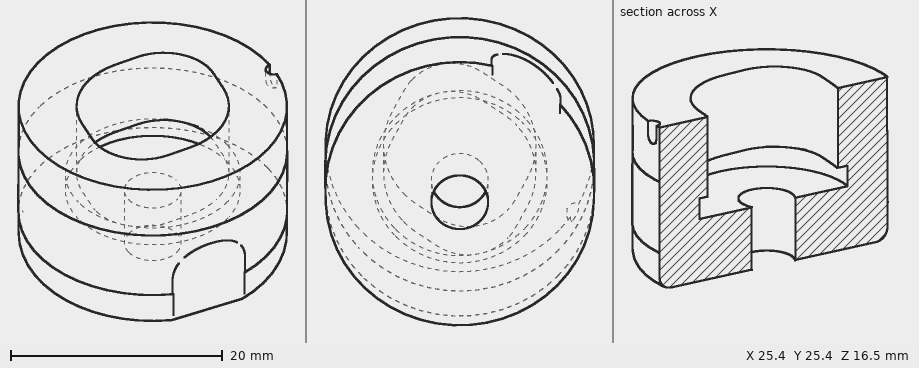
import cadquery as cq
import math

OUTER_DIAMETER = 25.4
END_DIAMETER = 25.35
HEIGHT = 16.5
BASE_HEIGHT = 3.8
COLLAR_BOTTOM = 11.0
BOTTOM_FILLET = 1.3

FLAT_X = 12.12
FLAT_TOP = 5.6
RUNOUT_TOP = 9.1

POCKET_RADIUS = 7.2
LOBE_RADIUS = 5.08
LOBE_OFFSET = 3.18
LOBE_ANGLE = 135.0
POCKET_DEPTH = 8.13

CHAMBER_RADIUS = LOBE_OFFSET + LOBE_RADIUS
CHAMBER_FLOOR = 6.35
THROUGH_DIAMETER = 5.35

NOTCH_RADIUS = 0.75
NOTCH_DEPTH = 2.03


def cylinder(radius, bottom, top):
    return cq.Workplane("XY").workplane(offset=bottom).circle(radius).extrude(top - bottom)


def make_body():
    outer_radius = OUTER_DIAMETER / 2
    base = cylinder(END_DIAMETER / 2, 0, BASE_HEIGHT)
    middle = cylinder(outer_radius, BASE_HEIGHT, COLLAR_BOTTOM)
    collar = cylinder(END_DIAMETER / 2, COLLAR_BOTTOM, HEIGHT)
    return base.union(middle).union(collar)


def make_flat_cutter():
    outer_radius = OUTER_DIAMETER / 2
    cut_depth = outer_radius - FLAT_X
    rise = RUNOUT_TOP - FLAT_TOP
    runout_radius = (rise**2 + cut_depth**2) / (2 * cut_depth)
    half_angle = math.asin(rise / runout_radius) / 2
    arc_middle = (
        FLAT_X + runout_radius * (1 - math.cos(half_angle)),
        FLAT_TOP + runout_radius * math.sin(half_angle),
    )
    return (
        cq.Workplane("XZ")
        .moveTo(FLAT_X, 0)
        .lineTo(FLAT_X, FLAT_TOP)
        .threePointArc(arc_middle, (outer_radius, RUNOUT_TOP))
        .lineTo(outer_radius, 0)
        .close()
        .extrude(outer_radius, both=True)
    )


def make_pocket():
    tangent_angle = math.acos((POCKET_RADIUS - LOBE_RADIUS) / LOBE_OFFSET)
    across = math.sin(tangent_angle)
    along = math.cos(tangent_angle)
    center_x = POCKET_RADIUS * along
    center_y = POCKET_RADIUS * across
    lobe_x = LOBE_OFFSET + LOBE_RADIUS * along
    lobe_y = LOBE_RADIUS * across
    return (
        cq.Workplane("XY")
        .workplane(offset=HEIGHT - POCKET_DEPTH)
        .moveTo(center_x, -center_y)
        .lineTo(lobe_x, -lobe_y)
        .threePointArc((CHAMBER_RADIUS, 0), (lobe_x, lobe_y))
        .lineTo(center_x, center_y)
        .threePointArc((0, POCKET_RADIUS), (-center_x, center_y))
        .lineTo(-lobe_x, lobe_y)
        .threePointArc((-CHAMBER_RADIUS, 0), (-lobe_x, -lobe_y))
        .lineTo(-center_x, -center_y)
        .threePointArc((0, -POCKET_RADIUS), (center_x, -center_y))
        .close()
        .extrude(POCKET_DEPTH)
        .rotate((0, 0, 0), (0, 0, 1), LOBE_ANGLE)
    )


def make_notch():
    ball_center = HEIGHT - NOTCH_DEPTH + NOTCH_RADIUS
    shank = cylinder(NOTCH_RADIUS, ball_center, HEIGHT)
    ball = cq.Workplane("XY").sphere(NOTCH_RADIUS).translate((0, 0, ball_center))
    return shank.union(ball).translate((0, OUTER_DIAMETER / 2, 0))


result = make_body().cut(make_flat_cutter())
result = result.faces("<Z").edges().fillet(BOTTOM_FILLET)
result = result.cut(make_pocket())
result = result.cut(cylinder(CHAMBER_RADIUS, CHAMBER_FLOOR, HEIGHT - POCKET_DEPTH))
result = result.cut(cylinder(THROUGH_DIAMETER / 2, 0, CHAMBER_FLOOR))
result = result.cut(make_notch())